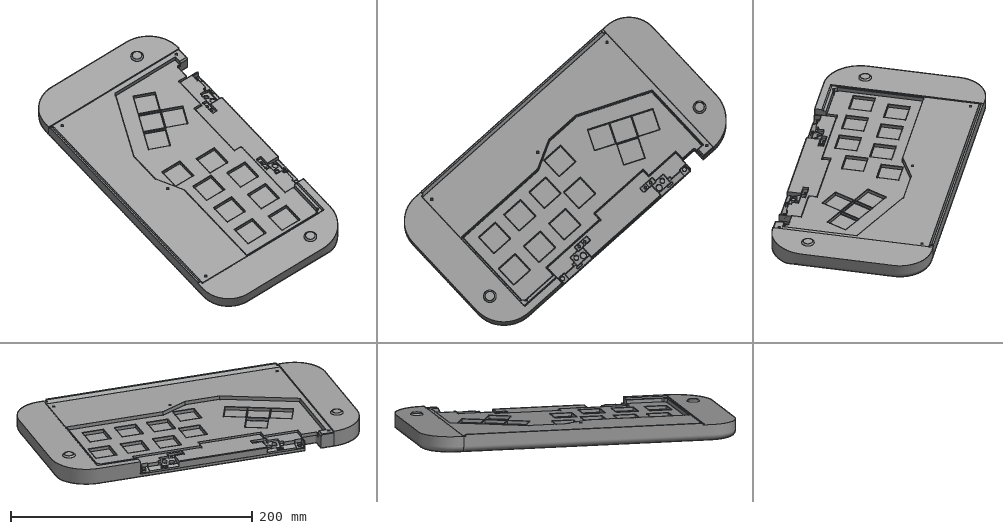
import cadquery as cq
import math

LENGTH = 270.0
WIDTH = 135.8
GRIP_HEIGHT = 13.8
FRONT_CORNER_RADIUS = 27.0
REAR_CORNER_RADIUS = 31.0
BOTTOM_FILLET = 4.9
REAR_Y = WIDTH / 2
FRONT_Y = -WIDTH / 2

LIP_HEIGHT = 1.3
LIP_HALF_LENGTH = 101.2
LIP_END_MARGIN = 2.0
DECK_DEPTH = 1.0
DECK_HALF_LENGTH = LIP_HALF_LENGTH + LIP_END_MARGIN
DECK_FRONT_Y = -65.0
DECK_REAR_Y = 61.8
DECK_Z = GRIP_HEIGHT - DECK_DEPTH
LIP_Z = GRIP_HEIGHT + LIP_HEIGHT

STICK_BASE_DIAMETER = 10.5
STICK_TOP_DIAMETER = 7.8
STICK_HEIGHT = LIP_Z - GRIP_HEIGHT
LEFT_STICK_POSITION = (-117.7, 35.0)
RIGHT_STICK_POSITION = (118.8, 36.0)

SCREW_HOLE_DIAMETER = 2.0
SCREW_POSITIONS = [(-100.5, 63.0), (-98.5, -57.5), (98.5, -57.5), (6.7, -27.5), (98.5, 58.3)]

CLEARANCE = 0.8
PLATE_Z = 10.0
PLATE_THICKNESS = 3.0
POCKET_FLOOR_Z = PLATE_Z - PLATE_THICKNESS
POCKET_OUTLINE = [
    (-98.8, 60.5),
    (-98.8, -2.5),
    (-37.8, -29.5),
    (-7.3, -29.5),
    (16.5, -17.3),
    (101.8, -17.3),
    (101.8, 55.5),
    (99.0, 58.3),
    (54.0, 58.3),
    (54.0, 60.5),
]
KEY_SIZE = 18.4
KEY_CHAMFER = 0.3
KEY_PITCH = 28.3
UPPER_ROW_START = (31.0, 32.0)
LOWER_ROW_START = (25.0, 1.3)
KEYS_PER_ROW = 3
INNER_KEYS = [(4.0, 20.8), (-2.2, -10.3)]
CROSS_CENTER = (-59.0, 6.0)
CROSS_PITCH = 19.2
CROSS_ANGLE = -24.3

NOTCH_LEFT_X = -91.8
NOTCH_FRONT_Y = 57.0
NOTCH_CORNER_RADIUS = 1.0

STRIP_BEVEL_WIDTH = 1.0
STRIP_BEVEL_DEPTH = 2.0
REAR_CHAMFER = 0.5

HINGE_LEFT_X = -77.8
HINGE_RIGHT_X = 66.5
HINGE_EAR_FRONT_Y = 49.5
HINGE_STEP_LEFT_X = -47.5
HINGE_STEP_RIGHT_X = 6.2
HINGE_FRONT_Y = 42.5
HINGE_FLOOR_Z = 2.5
HINGE_TOP_Z = 8.6
HINGE_MID_X = (HINGE_LEFT_X + HINGE_RIGHT_X) / 2
HINGE_TILT = 19.3
HINGE_SEATS = [
    ((-76.7, -70.5), (62.0, REAR_Y), 3.2),
    ((-70.5, -44.5), (63.2, REAR_Y), 3.0),
    ((-60.7, -58.0), (61.0, 64.5), 2.2),
    ((-58.0, -44.5), (55.5, 64.5), 1.5),
    ((-49.5, -42.0), (51.5, 56.2), 2.2),
    ((-42.0, -35.6), (51.5, 56.2), 1.5),
]
HINGE_HOLE_BOTTOM_Z = 3.5
HINGE_HOLES = [
    ((-74.2, 64.0), 3.5),
    ((-48.3, 61.3), 5.0),
    ((-54.0, 58.9), 4.0),
    ((-39.7, 53.7), 2.1),
    ((-46.0, 53.5), 2.1),
]
SLOT_X_RANGE = (-59.5, -54.0)
SLOT_Y_RANGE = (64.8, 66.5)


def box_between(x_range, y_range, z_range):
    """Axis-aligned box given by its limits along X, Y and Z."""
    size = [high - low for low, high in (x_range, y_range, z_range)]
    corner = (x_range[0], y_range[0], z_range[0])
    return cq.Workplane("XY").box(*size, centered=False).translate(corner)


def prism(points, bottom_z, top_z):
    """Upright prism over a closed polygon."""
    return cq.Workplane("XY").workplane(offset=bottom_z).polyline(points).close().extrude(top_z - bottom_z)


def cylinder(position, diameter, bottom_z, top_z):
    """Upright cylinder."""
    base = cq.Workplane("XY").workplane(offset=bottom_z).center(*position)
    return base.circle(diameter / 2).extrude(top_z - bottom_z)


def case_blank():
    """Rounded slab; its bottom fillet runs along the sides and front, and the rear corners cut it off."""
    slab = cq.Workplane("XY").box(LENGTH, WIDTH, GRIP_HEIGHT, centered=(True, True, False))
    slab = slab.edges("|Z and <Y").fillet(FRONT_CORNER_RADIUS)
    slab = slab.faces("<Z").edges("not >Y").fillet(BOTTOM_FILLET)
    rear_corners = cq.Workplane("XY").box(LENGTH, WIDTH, GRIP_HEIGHT, centered=(True, True, False))
    rear_corners = rear_corners.edges("|Z and >Y").fillet(REAR_CORNER_RADIUS)
    return slab.intersect(rear_corners)


def thumb_stick(position):
    """Low truncated cone on top of a grip."""
    base = cq.Workplane("XY").workplane(offset=GRIP_HEIGHT).center(*position).circle(STICK_BASE_DIAMETER / 2)
    return base.workplane(offset=STICK_HEIGHT).circle(STICK_TOP_DIAMETER / 2).loft(combine=True)


def left_of_seam():
    """Half space left of the seam between the left grip and the main case."""
    return box_between((-LENGTH, -DECK_HALF_LENGTH), (-WIDTH, WIDTH), (0, LENGTH))


def front_lip():
    """Raised lip along the front edge, sloped at 45 degrees towards the deck."""
    slope_end_y = DECK_FRONT_Y - LIP_HEIGHT
    profile = [
        (FRONT_Y, DECK_Z),
        (FRONT_Y, LIP_Z),
        (slope_end_y, LIP_Z),
        (DECK_FRONT_Y + DECK_DEPTH, DECK_Z),
    ]
    lip = cq.Workplane("YZ").workplane(offset=-LIP_HALF_LENGTH).polyline(profile).close()
    return lip.extrude(2 * LIP_HALF_LENGTH)


def deck_recess():
    """Shallow recess between the grips, with 45 degree slopes at its front and rear."""
    profile = [
        (DECK_FRONT_Y, GRIP_HEIGHT),
        (DECK_FRONT_Y + DECK_DEPTH, DECK_Z),
        (DECK_REAR_Y - DECK_DEPTH, DECK_Z),
        (DECK_REAR_Y, GRIP_HEIGHT),
    ]
    recess = cq.Workplane("YZ").workplane(offset=-DECK_HALF_LENGTH).polyline(profile).close()
    recess = recess.extrude(2 * DECK_HALF_LENGTH)
    rear_left = box_between((-DECK_HALF_LENGTH, HINGE_LEFT_X), (0, WIDTH), (DECK_Z, LIP_Z))
    return recess.union(rear_left)


def cable_notch():
    """Notch through the rear edge, left of the hinge block."""
    notch = box_between((NOTCH_LEFT_X, HINGE_LEFT_X), (NOTCH_FRONT_Y, WIDTH), (0, LIP_Z))
    return notch.edges("|Z and <X and <Y").fillet(NOTCH_CORNER_RADIUS)


def strip_bevels():
    """Bevels on the deck strip left of the notch: one along the notch and a small one along the rear."""
    notch_profile = [
        (NOTCH_LEFT_X - STRIP_BEVEL_WIDTH, DECK_Z),
        (NOTCH_LEFT_X, DECK_Z),
        (NOTCH_LEFT_X, DECK_Z - STRIP_BEVEL_DEPTH),
    ]
    notch_bevel = cq.Workplane("XZ").workplane(offset=-REAR_Y).polyline(notch_profile).close()
    notch_bevel = notch_bevel.extrude(REAR_Y - NOTCH_FRONT_Y)
    rear_profile = [(REAR_Y - REAR_CHAMFER, DECK_Z), (REAR_Y, DECK_Z), (REAR_Y, DECK_Z - REAR_CHAMFER)]
    rear_bevel = cq.Workplane("YZ").workplane(offset=-DECK_HALF_LENGTH).polyline(rear_profile).close()
    rear_bevel = rear_bevel.extrude(DECK_HALF_LENGTH + NOTCH_LEFT_X)
    return notch_bevel.union(rear_bevel)


def hinge_outline(margin):
    """Stepped outline of the hinge block, grown by a margin except at the rear."""
    left = HINGE_LEFT_X - margin
    right = HINGE_RIGHT_X + margin
    step_left = HINGE_STEP_LEFT_X - margin
    step_right = HINGE_STEP_RIGHT_X + margin
    return [
        (left, REAR_Y),
        (left, HINGE_EAR_FRONT_Y - margin),
        (step_left, HINGE_EAR_FRONT_Y - margin),
        (step_left, HINGE_FRONT_Y - margin),
        (step_right, HINGE_FRONT_Y - margin),
        (step_right, HINGE_EAR_FRONT_Y - margin),
        (right, HINGE_EAR_FRONT_Y - margin),
        (right, REAR_Y),
    ]


def make_main_case():
    """Tray with the right grip, the front lip and the pockets for the plate and the hinge block."""
    case = case_blank().cut(left_of_seam()).cut(deck_recess()).union(front_lip())
    case = case.union(thumb_stick(RIGHT_STICK_POSITION))
    case = case.cut(prism(POCKET_OUTLINE, POCKET_FLOOR_Z, LIP_Z))
    case = case.cut(prism(hinge_outline(CLEARANCE), HINGE_FLOOR_Z, LIP_Z))
    case = case.cut(cable_notch()).cut(strip_bevels())
    for position in SCREW_POSITIONS:
        case = case.cut(cylinder(position, SCREW_HOLE_DIAMETER, 0, LIP_Z))
    return case


def make_left_grip():
    """Left end of the case, up to the seam, with its thumb stick."""
    return case_blank().intersect(left_of_seam()).union(thumb_stick(LEFT_STICK_POSITION))


def key_opening(position, angle=0):
    """Square opening through the plate, chamfered at the top."""
    opening = cq.Workplane("XY").rect(KEY_SIZE, KEY_SIZE).extrude(PLATE_THICKNESS)
    flare = cq.Workplane("XY").workplane(offset=PLATE_THICKNESS - KEY_CHAMFER).rect(KEY_SIZE, KEY_SIZE)
    flared_size = KEY_SIZE + 2 * KEY_CHAMFER
    flare = flare.workplane(offset=KEY_CHAMFER).rect(flared_size, flared_size).loft(combine=True)
    opening = opening.union(flare).rotate((0, 0, 0), (0, 0, 1), angle)
    return opening.translate((*position, POCKET_FLOOR_Z))


def straight_key_positions():
    """Centres of the keys that are square to the case."""
    positions = list(INNER_KEYS)
    for start_x, start_y in (UPPER_ROW_START, LOWER_ROW_START):
        for index in range(KEYS_PER_ROW):
            positions.append((start_x + index * KEY_PITCH, start_y))
    return positions


def cross_key_positions():
    """Centres of the tilted direction keys: a row of three and one above its middle."""
    turn = math.radians(CROSS_ANGLE)
    positions = []
    for column, row in ((-1, 0), (0, 0), (1, 0), (0, 1)):
        along = column * CROSS_PITCH
        across = row * CROSS_PITCH
        x = CROSS_CENTER[0] + along * math.cos(turn) - across * math.sin(turn)
        y = CROSS_CENTER[1] + along * math.sin(turn) + across * math.cos(turn)
        positions.append((x, y))
    return positions


def make_keyboard_plate():
    """Plate that fills the pocket with clearance, around the hinge block."""
    outline = cq.Workplane("XY").workplane(offset=POCKET_FLOOR_Z).polyline(POCKET_OUTLINE).close()
    plate = outline.offset2D(-CLEARANCE, "intersection").extrude(PLATE_THICKNESS)
    plate = plate.cut(prism(hinge_outline(CLEARANCE), POCKET_FLOOR_Z, PLATE_Z)).cut(cable_notch())
    for position in straight_key_positions():
        plate = plate.cut(key_opening(position))
    for position in cross_key_positions():
        plate = plate.cut(key_opening(position, CROSS_ANGLE))
    return plate


def tilted_seat(x_range, y_range, front_depth):
    """Pocket whose floor falls towards the rear."""
    front_y, rear_y = y_range
    floor_z = HINGE_TOP_Z - front_depth
    fall = (rear_y - front_y) * math.tan(math.radians(HINGE_TILT))
    profile = [(front_y, HINGE_TOP_Z), (front_y, floor_z), (rear_y, floor_z - fall), (rear_y, HINGE_TOP_Z)]
    seat = cq.Workplane("YZ").workplane(offset=x_range[0]).polyline(profile).close()
    return seat.extrude(x_range[1] - x_range[0])


def left_hinge_cutter():
    """Everything cut from the block for the left hinge."""
    cutter = box_between(SLOT_X_RANGE, SLOT_Y_RANGE, (HINGE_HOLE_BOTTOM_Z, HINGE_TOP_Z))
    for x_range, y_range, front_depth in HINGE_SEATS:
        cutter = cutter.union(tilted_seat(x_range, y_range, front_depth))
    for position, diameter in HINGE_HOLES:
        cutter = cutter.union(cylinder(position, diameter, HINGE_HOLE_BOTTOM_Z, HINGE_TOP_Z))
    return cutter


def make_hinge_block():
    """Stepped block at the rear with mirrored seats for two hinges."""
    block = prism(hinge_outline(0), HINGE_FLOOR_Z, HINGE_TOP_Z)
    block = block.faces(">Z").edges(">Y").chamfer(REAR_CHAMFER)
    left_cutter = left_hinge_cutter()
    right_cutter = left_cutter.mirror("YZ", (HINGE_MID_X, 0, 0))
    return block.cut(left_cutter).cut(right_cutter)


main_case = make_main_case()
left_grip = make_left_grip()
keyboard_plate = make_keyboard_plate()
hinge_block = make_hinge_block()

result = cq.Compound.makeCompound(
    [main_case.val(), left_grip.val(), keyboard_plate.val(), hinge_block.val()]
)